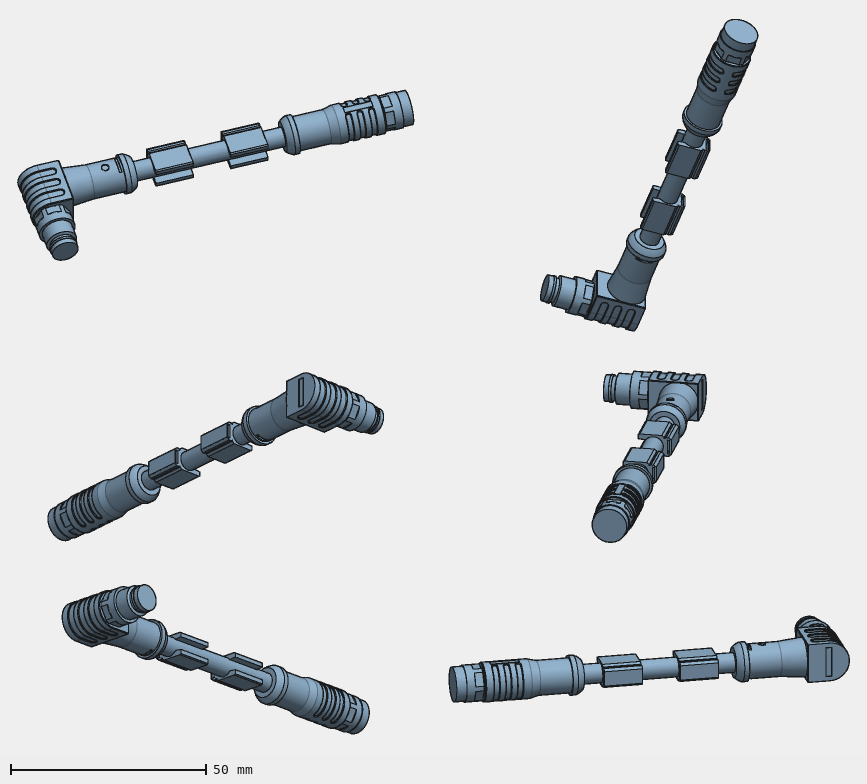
import cadquery as cq
import math



total_length = 103.0
grip_dia = 10.3
grip_radius = grip_dia / 2
y_bottom = -grip_radius
y_top = y_bottom + total_length
x_left = -grip_radius
x_right = 20.1

cable_dia = 5.2
boot_dia = 9.1
shoulder_dia = 7.9
shoulder_height = 1.9
shoulder_bulge = 0.1
flange_width = 1.3
nut_dia = 9.6
nut_flat_count = 6
nut_flat_distance = 4.4
nut_flat_length = 2.3
neck_dia = 8.0
neck_width = 0.3
groove_depth = 0.3
groove_wall_chamfer = 0.2
end_chamfer = 0.2

socket_rim_length = 2.7
socket_rim_dia = 9.1
socket_nut_end = 7.2
socket_grip_end = 19.7
socket_cone_end = 22.0
socket_flange_start = 30.5
socket_slot_width = 1.6
socket_slot_pitch = 3.1
socket_slot_count = 3
socket_slot_first = 10.5
socket_slot_inner_x = 1.1
marker_width = 1.8
marker_start = 9.8
marker_depth = 0.2
marker_end = 17.3

elbow_x_end = 8.0
elbow_y_top = 5.9
boot_cone_end = 12.5
boot_flange_start = 21.0
elbow_slot_width = 2.2
elbow_slot_pitch = 3.6
elbow_slot_count = 3
elbow_slot_first_x = -2.2
elbow_slot_end_y = 4.3
end_recess_y = (-0.5, 1.0)
end_recess_height = 7.8
end_recess_depth = 0.2
boot_hole_y = 16.7
boot_hole_dia = 2.0
boot_hole_floor = 4.1
notch_y = 20.2
notch_width = 0.6
notch_floor = 3.9

plug_nut_end = 13.0
plug_barrel_dia = 8.0
plug_barrel_end = 16.9
plug_chamfer_end = 17.2
plug_tip_dia = 6.9
plug_groove_dia = 6.5
plug_ring_dia = 7.2
plug_ring_start = 18.1
plug_ring_end = 18.7

clip_length = 10.0
clip_centres_y = (34.1, 54.1)
clip_half_height = 3.1
clip_rib_half_height = 2.6
clip_left_half_height = 2.0
clip_left = -4.6
clip_rib_left = -3.9
clip_rib_right = -3.3
clip_groove_x = -2.8
clip_groove_half_height = 2.3
clip_plate_left = -2.2
clip_right = 4.0
clip_bevel_width = 0.4
clip_bevel_height = 0.2
clip_label_slot_x = (-4.2, -3.6)
clip_label_slot_height = 3.7
clip_mouth_inner = (2.1, 1.5)
clip_mouth_outer_half_height = 1.8


def cylinder_y(dia, y_start, y_end):
    """Cylinder on the cable axis."""
    disc = cq.Workplane("XZ", origin=(0, y_start, 0)).circle(dia / 2)
    return disc.extrude(y_start - y_end)


def cylinder_x(dia, x_start, x_end):
    """Cylinder on the plug axis."""
    return cq.Workplane("YZ", origin=(x_start, 0, 0)).circle(dia / 2).extrude(x_end - x_start)


def cone_x(x_start, dia_start, x_end, dia_end):
    """Cone frustum on the plug axis."""
    start = cq.Workplane("YZ", origin=(x_start, 0, 0)).circle(dia_start / 2)
    return start.workplane(offset=x_end - x_start).circle(dia_end / 2).loft()


def revolve_y(outline):
    """Turn an outline drawn at +X about the cable axis."""
    return outline.close().revolve(360, (0, 0, 0), (0, 1, 0))


def boot(y_wide, y_cone, y_flange, direction):
    """Strain relief: taper from the grip, plain tube, flange and rounded shoulder."""
    y_shoulder = y_flange + direction * flange_width
    y_end = y_shoulder + direction * shoulder_height
    mid_radius = (grip_dia + shoulder_dia) / 4 + shoulder_bulge
    mid_y = (y_shoulder + y_end) / 2 + direction * shoulder_bulge
    outline = (
        cq.Workplane("XY")
        .moveTo(0, y_wide)
        .lineTo(grip_radius, y_wide)
        .lineTo(boot_dia / 2, y_cone)
        .lineTo(boot_dia / 2, y_flange)
        .lineTo(grip_radius, y_flange)
        .lineTo(grip_radius, y_shoulder)
        .threePointArc((mid_radius, mid_y), (shoulder_dia / 2, y_end))
        .lineTo(0, y_end)
    )
    return revolve_y(outline)


def nut(length):
    """Coupling nut along +X from x = 0, with wrench flats at its inner end."""
    body = cylinder_x(nut_dia, 0, length)
    blank = cylinder_x(2 * nut_dia, 0, nut_flat_length)
    across_flats = 2 * nut_flat_distance
    core = cq.Workplane("YZ").polygon(nut_flat_count, across_flats, circumscribed=True)
    flats = blank.cut(core.extrude(nut_flat_length))
    return body.cut(flats.rotate((0, 0, 0), (1, 0, 0), 360 / nut_flat_count / 2))


def socket():
    """Straight socket at the far end of the cable."""
    y_grip_start = y_top - socket_nut_end - neck_width
    y_grip_end = y_top - socket_grip_end
    y_nut = y_top - socket_nut_end
    body = cylinder_y(grip_dia, y_grip_end, y_grip_start)
    body = body.faces(">Y").chamfer(end_chamfer)
    body = body.union(boot(y_grip_end, y_top - socket_cone_end, y_top - socket_flange_start, -1))
    body = body.cut(socket_grip_grooves()).cut(socket_marker())
    body = body.union(cylinder_y(neck_dia, y_grip_start, y_nut))
    ring = nut(socket_nut_end - socket_rim_length)
    body = body.union(ring.rotate((0, 0, 0), (0, 0, 1), 90).translate((0, y_nut, 0)))
    return body.union(cylinder_y(socket_rim_dia, y_top - socket_rim_length, y_top))


def is_groove_floor(radius, tolerance=0.01):
    """Whether a point this far from the grip's centre lies on the floor of a groove."""
    floor_radius = grip_radius - groove_depth
    return radius < floor_radius + tolerance


def socket_grip_grooves():
    """Round-ended grooves wrapped over both sides of the socket grip."""
    y_start = y_top - socket_grip_end
    skin = cylinder_y(grip_dia, y_start, y_top)
    skin = skin.cut(cylinder_y(grip_dia - 2 * groove_depth, y_start, y_top))
    slot_length = grip_dia
    slot_x = socket_slot_inner_x + slot_length / 2
    centres = []
    for index in range(socket_slot_count):
        y = y_top - socket_slot_first - index * socket_slot_pitch
        centres += [(-slot_x, y), (slot_x, y)]
    slots = cq.Workplane("XY").pushPoints(centres).slot2D(slot_length, socket_slot_width)
    grooves = skin.intersect(slots.extrude(grip_radius, both=True))

    def on_floor(edge):
        middle = edge.positionAt(0.5)
        return is_groove_floor(math.hypot(middle.x, middle.z))

    return grooves.edges().filter(on_floor).chamfer(groove_wall_chamfer)


def socket_marker():
    """Flat-bottomed marker recess on top of the socket grip."""
    length = marker_end - marker_start
    y_centre = y_top - (marker_start + marker_end) / 2
    floor = grip_radius - marker_depth
    outline = cq.Workplane("XY", origin=(0, y_centre, floor)).rect(marker_width, length)
    return outline.extrude(grip_radius)


def elbow_prism(inset):
    """U-shaped elbow section, shrunk by the inset all round except at its flat end."""
    radius = grip_radius - inset
    outline = (
        cq.Workplane("YZ", origin=(x_left, 0, 0))
        .moveTo(elbow_y_top, radius)
        .lineTo(0, radius)
        .threePointArc((-radius, 0), (0, -radius))
        .lineTo(elbow_y_top, -radius)
        .close()
    )
    return outline.extrude(elbow_x_end - x_left)


def elbow_grip_grooves():
    """Grooves running from the top of the elbow round its nose to the underside."""
    skin = elbow_prism(0).cut(elbow_prism(groove_depth))
    slot_length = 2 * grip_dia
    slot_y = elbow_slot_end_y - slot_length / 2
    centres = []
    for index in range(elbow_slot_count):
        centres.append((elbow_slot_first_x + index * elbow_slot_pitch, slot_y))
    slots = cq.Workplane("XY").pushPoints(centres).slot2D(slot_length, elbow_slot_width, 90)
    grooves = skin.intersect(slots.extrude(grip_radius, both=True))

    def on_floor(edge):
        middle = edge.positionAt(0.5)
        return is_groove_floor(math.hypot(min(middle.y, 0), middle.z))

    return grooves.edges().filter(on_floor).chamfer(groove_wall_chamfer)


def elbow():
    """Elbow body with its grooves and the recess in its closed end."""
    y_start, y_end = end_recess_y
    recess = cq.Workplane("XY").box(2 * end_recess_depth, y_end - y_start, end_recess_height)
    recess = recess.translate((x_left, (y_start + y_end) / 2, 0))
    body = elbow_prism(0).faces(">X or >Y").chamfer(end_chamfer)
    return body.cut(elbow_grip_grooves()).cut(recess)


def elbow_boot():
    """Cable boot of the elbow with a dimple and two flat notches below the flange."""
    body = boot(elbow_y_top, boot_cone_end, boot_flange_start, 1)
    dimple = cq.Workplane("XY", origin=(0, boot_hole_y, boot_hole_floor)).circle(boot_hole_dia / 2)
    body = body.cut(dimple.extrude(grip_radius))
    notch_height = grip_radius - notch_floor
    notch = cq.Workplane("XY").box(grip_dia, notch_width, notch_height)
    for side in (-1, 1):
        notch_z = side * (notch_floor + notch_height / 2)
        body = body.cut(notch.translate((0, notch_y, notch_z)))
    return body


def plug():
    """Plug on the side of the elbow: neck, coupling nut, barrel and ringed tip."""
    nut_start = elbow_x_end + neck_width
    body = cylinder_x(neck_dia, elbow_x_end, nut_start)
    body = body.union(nut(plug_nut_end - nut_start).translate((nut_start, 0, 0)))
    body = body.union(cylinder_x(plug_barrel_dia, plug_nut_end, plug_barrel_end))
    body = body.union(cone_x(plug_barrel_end, plug_barrel_dia, plug_chamfer_end, plug_groove_dia))
    body = body.union(cylinder_x(plug_groove_dia, plug_chamfer_end, plug_ring_start))
    body = body.union(cylinder_x(plug_ring_dia, plug_ring_start, plug_ring_end))
    return body.union(cylinder_x(plug_tip_dia, plug_ring_end, x_right))


def clip(y_centre):
    """C-shaped cable clip, open towards +X, with a ribbed back and a label slot along it."""
    upper = [
        (clip_left, clip_left_half_height),
        (clip_rib_left, clip_rib_half_height),
        (clip_rib_right, clip_rib_half_height),
        (clip_groove_x, clip_groove_half_height),
        (clip_groove_x, clip_rib_half_height),
        (clip_plate_left, clip_half_height),
        (clip_right - clip_bevel_width, clip_half_height),
        (clip_right, clip_half_height - clip_bevel_height),
        (clip_right, clip_mouth_outer_half_height),
        clip_mouth_inner,
    ]
    lower = [(x, -z) for x, z in reversed(upper)]
    plane = cq.Workplane("XZ", origin=(0, y_centre, 0))
    body = plane.polyline(upper + lower).close().extrude(clip_length / 2, both=True)
    slot_left, slot_right = clip_label_slot_x
    slot = cq.Workplane("XY").box(slot_right - slot_left, clip_length, clip_label_slot_height)
    return body.cut(slot.translate(((slot_left + slot_right) / 2, y_centre, 0)))


result = cylinder_y(cable_dia, elbow_y_top, y_top - socket_grip_end)
result = result.union(elbow()).union(elbow_boot()).union(plug()).union(socket())
for clip_y in clip_centres_y:
    result = result.union(clip(clip_y))